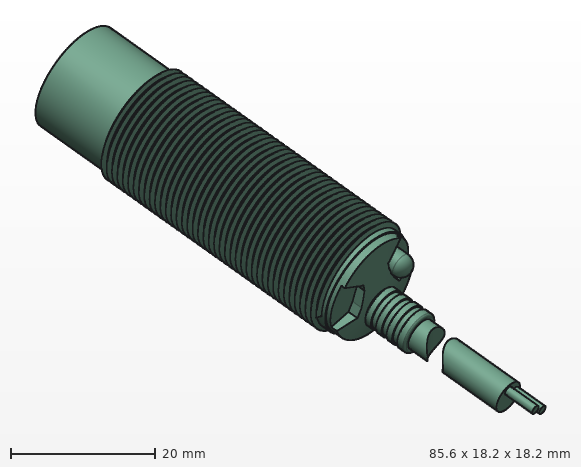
import cadquery as cq
import math


barrel_radius = 8.4
barrel_length = 53.9

crest_diameter = 18.2
crest_radius = crest_diameter / 2
thread_start = 12.4
thread_travel = 40.5
thread_turns = 40.5
thread_pitch = thread_travel / thread_turns
tooth_angle = 60
root_sink = 0.1

cap_radius = 8.1
cable_z = -2.9
cone_tip_x = 57.2
cone_slope = 0.18

pocket_floor_x = 54.7
pocket_outline = [
    (10.3, -1.7),
    (4.4, -1.7),
    (3.5, -0.2),
    (2.6, 2.6),
    (2.6, 3.6),
    (10.3, 8.5),
]

lamp_radius = 1.8
lamp_y = 4.5
lamp_z = 1.9
lamp_dome_x = 56.5

gland_radius = 3.25
gland_end_x = 64.1
gland_edge_fillet = 0.3
groove_count = 4
groove_start_x = 55.9
groove_pitch = 2.0
groove_width = 0.9
groove_depth = 0.25

cable_radius = 2.5
cable_end_x = 80.6
break_half_width = 2.7
stub_break_x = 66.7
tail_break_x = 69.6
break_belly_y = 0.7
break_belly_x = -0.6
break_far_x = 1.5

wire_diameter = 1.4
wire_end_x = 85.6
wire_offset = 1.45


def rod(start_x, end_x, radius, y=0.0, z=0.0):
    """Cylinder along X between two stations."""
    plane = cq.Workplane("YZ", origin=(start_x, y, z))
    return plane.circle(radius).extrude(end_x - start_x)


def make_thread():
    """Right-handed V thread, its base sunk slightly into the barrel."""
    base_radius = barrel_radius - root_sink
    half_base = (crest_radius - base_radius) * math.tan(math.radians(tooth_angle / 2))
    helix = cq.Wire.makeHelix(thread_pitch, thread_travel, base_radius)
    tooth = cq.Workplane("XZ").polyline([
        (base_radius, -half_base),
        (crest_radius, 0),
        (base_radius, half_base),
    ]).close()
    thread = tooth.sweep(cq.Workplane(obj=helix), isFrenet=True)
    thread = thread.rotate((0, 0, 0), (1, 1, 1), 120)
    return thread.translate((thread_start, 0, 0))


def make_cap():
    """End cap trimmed by the cone around the cable axis."""
    cone_reach = 2 * cap_radius
    cone_base_x = cone_tip_x - cone_slope * cone_reach
    cone = (
        cq.Workplane("XY")
        .polyline([
            (barrel_length, 0),
            (cone_tip_x, 0),
            (cone_base_x, cone_reach),
            (barrel_length, cone_reach),
        ])
        .close()
        .revolve(360, (0, 0, 0), (1, 0, 0))
        .translate((0, 0, cable_z))
    )
    return rod(barrel_length, cone_tip_x, cap_radius).intersect(cone)


def make_pocket():
    """Cutter for the pocket on the +Y side."""
    plane = cq.Workplane("YZ", origin=(pocket_floor_x, 0, 0))
    return plane.polyline(pocket_outline).close().extrude(cone_tip_x - pocket_floor_x)


def make_lamp():
    """Cylindrical lamp with a dome."""
    stem = rod(pocket_floor_x, lamp_dome_x, lamp_radius, lamp_y, lamp_z)
    dome = cq.Workplane("XY").sphere(lamp_radius).translate((lamp_dome_x, lamp_y, lamp_z))
    return stem.union(dome)


def make_gland():
    """Strain relief with ring grooves."""
    gland = rod(barrel_length, gland_end_x, gland_radius, z=cable_z)
    gland = gland.faces(">X").edges().fillet(gland_edge_fillet)
    for index in range(groove_count):
        start_x = groove_start_x + index * groove_pitch
        end_x = start_x + groove_width
        ring = rod(start_x, end_x, gland_radius + groove_depth, z=cable_z)
        core = rod(start_x, end_x, gland_radius - groove_depth, z=cable_z)
        gland = gland.cut(ring.cut(core))
    return gland


def cable_piece(break_x, square_end_x):
    """Cable between a curved break and a square end."""
    outline = (
        cq.Workplane("XY", origin=(0, 0, cable_z))
        .moveTo(square_end_x, break_half_width)
        .lineTo(break_x, break_half_width)
        .threePointArc(
            (break_x + break_belly_x, break_belly_y),
            (break_x + break_far_x, -break_half_width),
        )
        .lineTo(square_end_x, -break_half_width)
        .close()
    )
    slab = outline.extrude(break_half_width, both=True)
    return rod(barrel_length, cable_end_x, cable_radius, z=cable_z).intersect(slab)


def make_sensor():
    """Barrel, thread, end cap, lamp, gland and cable stub."""
    pocket = make_pocket()
    cap = make_cap().cut(pocket).cut(pocket.mirror("XZ"))
    rear = cap.union(make_gland()).union(make_lamp())
    rear = rear.union(cable_piece(stub_break_x, barrel_length))
    return rod(0, barrel_length, barrel_radius).union(make_thread()).union(rear)


def make_wire(y, z):
    """Conductor butting against the cable end."""
    return rod(cable_end_x, wire_end_x, wire_diameter / 2, y, z)


sensor = make_sensor()
cable_tail = cable_piece(tail_break_x, cable_end_x)

wire_places = [(0.0, cable_z + wire_offset), (wire_offset, cable_z)]
wires = [make_wire(y, z) for y, z in wire_places]

result = cq.Compound.makeCompound([
    sensor.val(),
    cable_tail.val(),
    *[wire.val() for wire in wires],
])